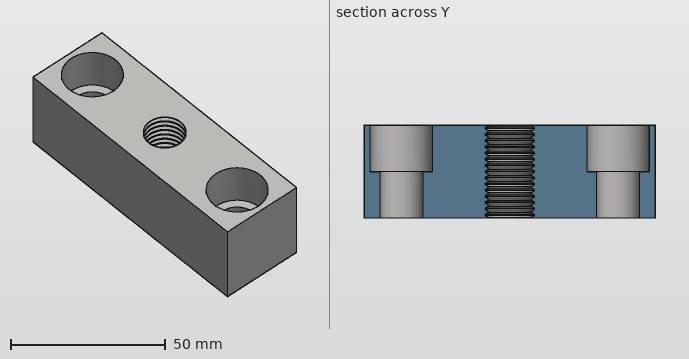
import cadquery as cq
import math

length = 94.0
width = 30.0
height = width

bolt_edge_distance = 12.0
bolt_diameter = 13.8
counterbore_diameter = 20.0
counterbore_depth = height / 2

thread_minor_diameter = 13.8
thread_count = 15
thread_pitch = height / thread_count
crest_width = thread_pitch / 4
root_width = thread_pitch / 8
flank_angle = math.radians(60)


def make_block():
    return cq.Workplane("XY").box(length, width, height, centered=(True, True, False))


def drill_bolt_holes(body):
    bolt_x = length / 2 - bolt_edge_distance
    return (
        body.faces(">Z")
        .workplane(origin=(0, 0, height))
        .pushPoints([(-bolt_x, 0), (bolt_x, 0)])
        .cboreHole(bolt_diameter, counterbore_diameter, counterbore_depth)
    )


def make_thread_cutter():
    """Revolve the thread profile, with half a crest left at each end face."""
    mouth_width = thread_pitch - crest_width
    flank_height = (mouth_width - root_width) / 2
    minor_radius = thread_minor_diameter / 2
    major_radius = minor_radius + flank_height * math.tan(flank_angle)

    profile = [(0, 0), (minor_radius, 0)]
    for ring in range(thread_count):
        groove_middle = (ring + 0.5) * thread_pitch
        profile += [
            (minor_radius, groove_middle - mouth_width / 2),
            (major_radius, groove_middle - root_width / 2),
            (major_radius, groove_middle + root_width / 2),
            (minor_radius, groove_middle + mouth_width / 2),
        ]
    profile += [(minor_radius, height), (0, height)]
    return cq.Workplane("XZ").polyline(profile).close().revolve(360, (0, 0), (0, 1))


result = drill_bolt_holes(make_block()).cut(make_thread_cutter())